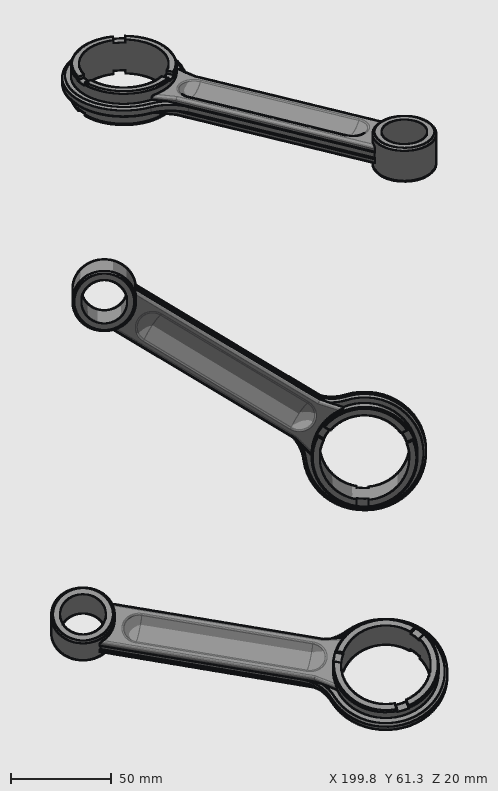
import cadquery as cq
import math

total_length = 199.8
height = 20.0
flange_radius = 61.3 / 2
collar_radius = 52.7 / 2
big_bore_radius = 44.5 / 2
eye_radius = 31.8 / 2
eye_bore_radius = 22.8 / 2
eye_x = total_length - flange_radius - eye_radius

collar_bevel_width = 0.5
eye_bevel_width = 1.0
rim_bevel_height = 1.2

flange_thickness = 5.8
flange_bevel_width = 1.4
flange_bevel_height = 1.2
blend_radius = 22.0

rod_half_width = 11.8
rod_thickness = 10.5
rod_edge_radius = 1.5
flare_start_x = 34.0
flare_length = 13.0
flare_rise = 3.2

groove_depth = 0.3
groove_mouth_half_height = 2.2
groove_floor_half_height = 1.5

trough_start_x = 38.4
trough_end_x = 124.9
trough_half_width = 17.0 / 2
trough_arc_radius = 10.0
trough_edge_radius = 1.2

notch_count = 3
notch_width = 6.0
notch_depth = 1.8


def beveled_ring_body(radius, center_x, rim_bevel_width):
    """Upright cylinder with a bevel around its top and bottom rims."""
    top = height / 2
    half_profile = [
        (0, -top),
        (radius - rim_bevel_width, -top),
        (radius, -top + rim_bevel_height),
        (radius, top - rim_bevel_height),
        (radius - rim_bevel_width, top),
        (0, top),
    ]
    body = cq.Workplane("XZ").polyline(half_profile).close().revolve(360, (0, 0), (0, 1))
    return body.translate((center_x, 0, 0))


def make_flange():
    """Round flange that blends tangentially into the floors of the rod grooves."""
    floor_y = rod_half_width - groove_depth
    blend_y = floor_y + blend_radius
    blend_x = math.sqrt((flange_radius + blend_radius) ** 2 - blend_y**2)
    join_angle = math.atan2(blend_y, blend_x)
    join_x = flange_radius * math.cos(join_angle)
    join_y = flange_radius * math.sin(join_angle)
    middle_angle = (join_angle + math.pi + 1.5 * math.pi) / 2
    middle_x = blend_x + blend_radius * math.cos(middle_angle)
    middle_y = blend_y + blend_radius * math.sin(middle_angle)
    plate = (
        cq.Workplane("XY", origin=(0, 0, -flange_thickness / 2))
        .moveTo(blend_x, floor_y)
        .threePointArc((middle_x, middle_y), (join_x, join_y))
        .threePointArc((-flange_radius, 0), (join_x, -join_y))
        .threePointArc((middle_x, -middle_y), (blend_x, -floor_y))
        .close()
        .extrude(flange_thickness)
    )
    return plate.faces("<Z or >Z").edges().chamfer(flange_bevel_height, flange_bevel_width)


def make_rod():
    """Round-edged bar that flares out towards the big end and has grooved sides."""
    flare_end_x = flare_start_x - flare_length
    flare_end_y = rod_half_width + flare_rise
    outline = [
        (eye_x, rod_half_width),
        (flare_start_x, rod_half_width),
        (flare_end_x, flare_end_y),
        (flare_end_x, -flare_end_y),
        (flare_start_x, -rod_half_width),
        (eye_x, -rod_half_width),
    ]
    plate = (
        cq.Workplane("XY", origin=(0, 0, -rod_thickness / 2))
        .polyline(outline)
        .close()
        .extrude(rod_thickness)
    )
    rod = plate.faces("<Z or >Z").edges().fillet(rod_edge_radius)
    for side in (-1, 1):
        groove_section = [
            (side * rod_half_width, -groove_mouth_half_height),
            (side * (rod_half_width - groove_depth), -groove_floor_half_height),
            (side * (rod_half_width - groove_depth), groove_floor_half_height),
            (side * rod_half_width, groove_mouth_half_height),
        ]
        groove = (
            cq.Workplane("YZ", origin=(flare_start_x, 0, 0))
            .polyline(groove_section)
            .close()
            .extrude(eye_x - flare_start_x)
        )
        rod = rod.cut(groove)
    return rod


def trough_half_section():
    """Half of the trough section: a concave floor arc and a tangent rounded edge."""
    surface_z = rod_thickness / 2
    edge_center_z = surface_z - trough_edge_radius
    center_distance = trough_arc_radius + trough_edge_radius
    wall_angle = math.asin(trough_half_width / center_distance)
    arc_center_z = edge_center_z + center_distance * math.cos(wall_angle)

    def floor_point(angle):
        return (
            trough_arc_radius * math.sin(angle),
            arc_center_z - trough_arc_radius * math.cos(angle),
        )

    def edge_point(angle):
        return (
            trough_half_width - trough_edge_radius * math.sin(angle),
            edge_center_z + trough_edge_radius * math.cos(angle),
        )

    return (
        cq.Workplane("YZ")
        .moveTo(*floor_point(0))
        .threePointArc(floor_point(wall_angle / 2), floor_point(wall_angle))
        .threePointArc(edge_point(wall_angle / 2), edge_point(0))
        .lineTo(0, surface_z)
        .close()
    )


def make_trough():
    """Cutter for the upper trough: a round-bottomed channel with revolved ends."""
    bowl = trough_half_section().revolve(360, (0, 0), (0, 1))
    half_channel = trough_half_section().extrude(trough_end_x - trough_start_x)
    channel = half_channel.union(half_channel.mirror("XZ")).translate((trough_start_x, 0, 0))
    start_bowl = bowl.translate((trough_start_x, 0, 0))
    end_bowl = bowl.translate((trough_end_x, 0, 0))
    return channel.union(start_bowl).union(end_bowl)


def make_notches():
    """Cutters for the radial notches in the upper collar rim."""
    notch = (
        cq.Workplane("XY", origin=(collar_radius / 2, 0, height / 2 - notch_depth))
        .rect(collar_radius, notch_width)
        .extrude(notch_depth)
    )
    notches = notch
    for index in range(1, notch_count):
        angle = index * 360 / notch_count
        notches = notches.union(notch.rotate((0, 0, 0), (0, 0, 1), angle))
    return notches


def make_bore(radius, center_x):
    """Through-hole cutter on a vertical axis."""
    return cq.Workplane("XY", origin=(center_x, 0, -height / 2)).circle(radius).extrude(height)


result = make_rod().union(make_flange())
result = result.union(beveled_ring_body(collar_radius, 0, collar_bevel_width))
result = result.union(beveled_ring_body(eye_radius, eye_x, eye_bevel_width))

for cutter in (make_trough(), make_notches()):
    result = result.cut(cutter).cut(cutter.mirror("XY"))

result = result.cut(make_bore(big_bore_radius, 0))
result = result.cut(make_bore(eye_bore_radius, eye_x))